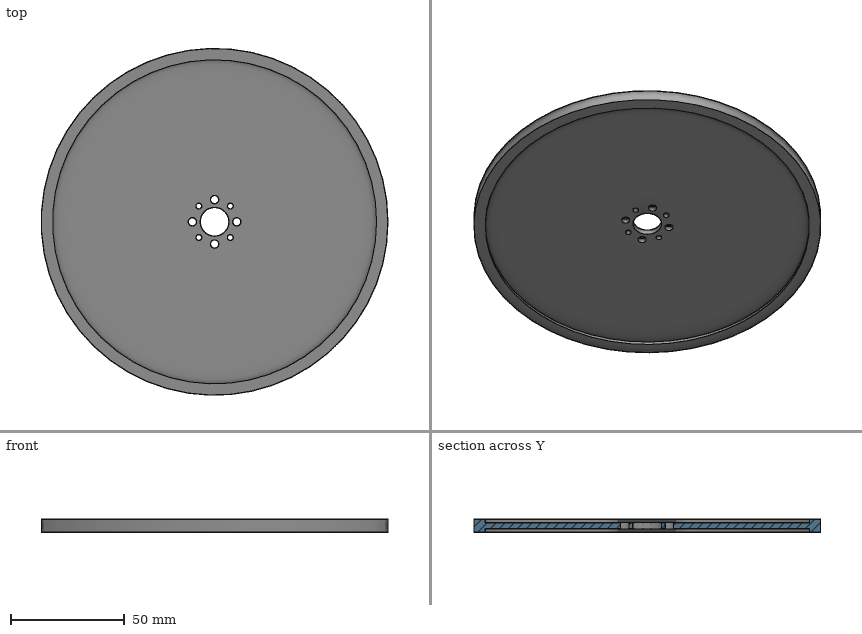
import cadquery as cq

outer_diameter = 152.4
thickness = 5.8
rim_width = 5.0
recess_depth = 1.5

bore_diameter = 12.5
bolt_circle_diameter = 19.5
large_hole_diameter = 3.5
small_hole_diameter = 2.5
holes_per_set = 4
small_hole_start_angle = 180 / holes_per_set

recess_diameter = outer_diameter - 2 * rim_width
web_thickness = thickness - 2 * recess_depth


def hole_ring(diameter, start_angle):
    """Cutters for one evenly spaced set of holes on the bolt circle."""
    return (
        cq.Workplane("XY")
        .polarArray(bolt_circle_diameter / 2, start_angle, 360, holes_per_set)
        .circle(diameter / 2)
        .extrude(thickness)
    )


rim = (
    cq.Workplane("XY")
    .circle(outer_diameter / 2)
    .circle(recess_diameter / 2)
    .extrude(thickness)
)

web = (
    cq.Workplane("XY")
    .workplane(offset=recess_depth)
    .circle(recess_diameter / 2)
    .circle(bore_diameter / 2)
    .extrude(web_thickness)
)

result = (
    rim.union(web)
    .cut(hole_ring(large_hole_diameter, 0))
    .cut(hole_ring(small_hole_diameter, small_hole_start_angle))
)